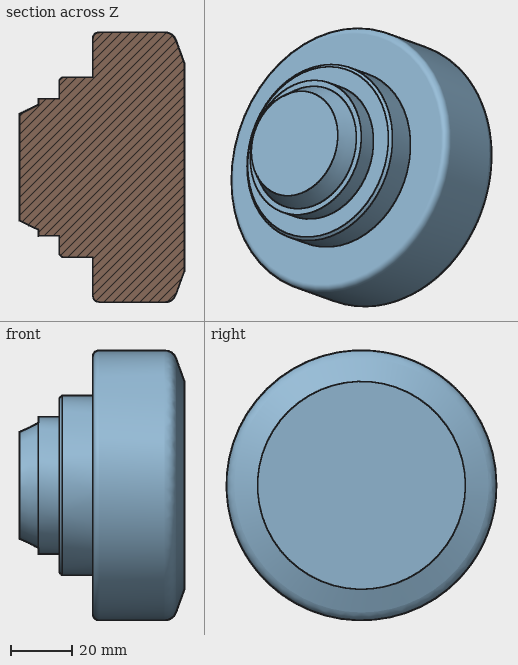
import cadquery as cq
import math

tip_end = 6.2
spigot_end = 13.0
boss_end = 24.0
rim_corner = 50.3
total_length = 54.0

tip_small_radius = 17.5
tip_large_radius = 20.5
spigot_radius = 45.0 / 2
boss_radius = 59.0 / 2
wheel_radius = 88.4 / 2

boss_chamfer = 1.0
front_fillet = 2.1
rear_fillet = 4.0
rear_cone_angle = 20

rear_face_radius = wheel_radius - (total_length - rim_corner) / math.tan(math.radians(rear_cone_angle))


def disc(start, end, radius):
    """Round step along X between two positions."""
    return cq.Workplane("YZ", origin=(start, 0, 0)).circle(radius).extrude(end - start)


def revolve_about_x(points):
    """Turn a closed (x, radius) outline about the X axis."""
    return cq.Workplane("XY").polyline(points).close().revolve(360, (0, 0, 0), (1, 0, 0))


tip = revolve_about_x([(0, 0), (0, tip_small_radius), (tip_end, tip_large_radius), (tip_end, 0)])

spigot = disc(tip_end, spigot_end, spigot_radius)
boss = disc(spigot_end, boss_end, boss_radius).faces("<X").chamfer(boss_chamfer)

wheel = revolve_about_x([
    (boss_end, 0),
    (boss_end, wheel_radius),
    (rim_corner, wheel_radius),
    (total_length, rear_face_radius),
    (total_length, 0),
])
wheel = wheel.faces("<X").edges().fillet(front_fillet)
rim_edge = cq.selectors.BoxSelector(
    (rim_corner - 0.9, -2 * wheel_radius, -2 * wheel_radius),
    (rim_corner + 0.9, 2 * wheel_radius, 2 * wheel_radius),
    boundingbox=True,
)
wheel = wheel.edges(rim_edge).fillet(rear_fillet)

result = tip.union(spigot).union(boss).union(wheel)